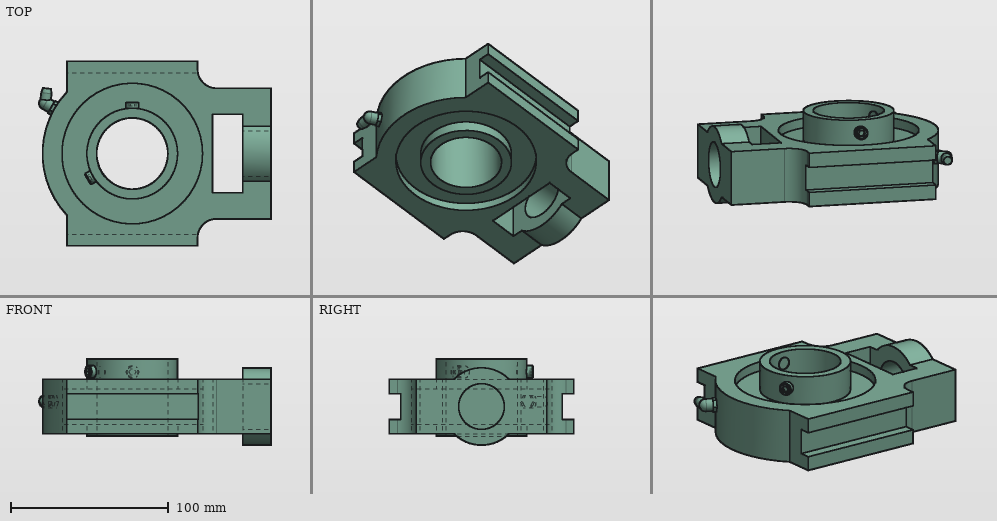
import cadquery as cq
import math


HOUSING_HEIGHT = 34.7
WING_HALF_LENGTH = 41.5
WING_HALF_WIDTH = 58.5
NOSE_RADIUS = 56.9
NECK_HALF_WIDTH = 41.5
NECK_FILLET = 11.8
END_X = 87.9
GUIDE_HEIGHT = 16.2
GUIDE_DEPTH = 7.3
WINDOW_LENGTH = 19.0
WINDOW_WIDTH = 49.5
END_WALL = 18.1
BOSS_RADIUS = 24.5
END_HOLE_DIAMETER = 29.0

INSERT_DIAMETER = 89.0
INSERT_RECESS = 6.2
RING_DIAMETER = 57.5
BORE_DIAMETER = 45.0
RING_TOP = 30.1
RING_BOTTOM = -18.8

SCREW_ANGLES = (90, 210)
SCREW_DIAMETER = 8.0
SCREW_CHAMFER = 0.6
SCREW_Z = 22.0
SCREW_OUTER_REACH = 32.6
SCREW_INNER_REACH = 22.6
SOCKET_ACROSS_FLATS = 4.0
SOCKET_DEPTH = 2.2

NIPPLE_ANGLE = 150
NIPPLE_Z = 3.2
ELBOW_REACH = 63.6
ELBOW_DIAMETER = 8.0
HEX_START = 52.9
HEX_END = 59.1
STEM_ANGLE = 83
STEM_DIAMETER = 6.8
STEM_LENGTH = 6.6
TIP_DIAMETER = 5.1
TIP_LENGTH = 3.0

HEX_CORNER_RATIO = 1 / math.cos(math.radians(30))


def direction(angle):
    """Horizontal unit vector at an angle from +X."""
    return cq.Vector(math.cos(math.radians(angle)), math.sin(math.radians(angle)), 0)


def radial_plane(start, angle):
    """Plane facing along a horizontal direction, with its own x axis horizontal too."""
    return cq.Plane(origin=start, xDir=direction(angle + 90), normal=direction(angle))


def disc(diameter, bottom, top):
    """Cylinder about the bore axis."""
    return cq.Workplane("XY").workplane(offset=bottom).circle(diameter / 2).extrude(top - bottom)


def housing_block():
    """Rounded nose, two wings and a narrower neck, joined by concave fillets."""
    nose_half_width = math.sqrt(NOSE_RADIUS**2 - WING_HALF_LENGTH**2)
    fillet_center = (WING_HALF_LENGTH + NECK_FILLET, NECK_HALF_WIDTH + NECK_FILLET)
    arc_offset = NECK_FILLET * math.sqrt(0.5)
    arc_mid = (fillet_center[0] - arc_offset, fillet_center[1] - arc_offset)
    return (
        cq.Workplane("XY")
        .workplane(offset=-HOUSING_HEIGHT / 2)
        .moveTo(-WING_HALF_LENGTH, nose_half_width)
        .lineTo(-WING_HALF_LENGTH, WING_HALF_WIDTH)
        .lineTo(WING_HALF_LENGTH, WING_HALF_WIDTH)
        .lineTo(WING_HALF_LENGTH, fillet_center[1])
        .threePointArc(arc_mid, (fillet_center[0], NECK_HALF_WIDTH))
        .lineTo(END_X, NECK_HALF_WIDTH)
        .lineTo(END_X, -NECK_HALF_WIDTH)
        .lineTo(fillet_center[0], -NECK_HALF_WIDTH)
        .threePointArc((arc_mid[0], -arc_mid[1]), (WING_HALF_LENGTH, -fillet_center[1]))
        .lineTo(WING_HALF_LENGTH, -WING_HALF_WIDTH)
        .lineTo(-WING_HALF_LENGTH, -WING_HALF_WIDTH)
        .lineTo(-WING_HALF_LENGTH, -nose_half_width)
        .threePointArc((-NOSE_RADIUS, 0), (-WING_HALF_LENGTH, nose_half_width))
        .close()
        .extrude(HOUSING_HEIGHT)
    )


def guide_slots():
    """Grooves along both wings that run on the guide rails."""
    slots = cq.Workplane("XY").pushPoints([(0, WING_HALF_WIDTH), (0, -WING_HALF_WIDTH)])
    return slots.box(2 * END_X, 2 * GUIDE_DEPTH, GUIDE_HEIGHT)


def end_cylinder(diameter):
    """Cylinder along X through the end wall."""
    wall_plane = cq.Workplane("YZ").workplane(offset=END_X - END_WALL)
    return wall_plane.circle(diameter / 2).extrude(END_WALL)


def nut_window():
    """Rectangular window for the adjusting nut, just inside the end wall."""
    center_x = END_X - END_WALL - WINDOW_LENGTH / 2
    return cq.Workplane("XY").center(center_x, 0).box(WINDOW_LENGTH, WINDOW_WIDTH, HOUSING_HEIGHT)


def grease_nipple():
    """Hexagon base, ball elbow and angled stem with a tapered tip."""
    axis = direction(NIPPLE_ANGLE)
    height = cq.Vector(0, 0, NIPPLE_Z)
    elbow = axis * ELBOW_REACH + height
    hexagon = (
        cq.Workplane(radial_plane(axis * HEX_START + height, NIPPLE_ANGLE))
        .polygon(6, ELBOW_DIAMETER * HEX_CORNER_RATIO)
        .extrude(HEX_END - HEX_START)
    )
    elbow_radius = ELBOW_DIAMETER / 2
    neck_length = ELBOW_REACH - HEX_END
    arc_offset = elbow_radius * math.sqrt(0.5)
    ball_ended_neck = (
        cq.Workplane(cq.Plane(origin=axis * HEX_END + height, xDir=axis, normal=(0, 0, 1)))
        .lineTo(0, elbow_radius)
        .lineTo(neck_length, elbow_radius)
        .threePointArc((neck_length + arc_offset, arc_offset), (neck_length + elbow_radius, 0))
        .close()
        .revolve(360, (0, 0, 0), (1, 0, 0))
    )
    stem = (
        cq.Workplane(radial_plane(elbow, STEM_ANGLE))
        .circle(STEM_DIAMETER / 2)
        .extrude(STEM_LENGTH)
    )
    tip = (
        cq.Workplane(radial_plane(elbow + direction(STEM_ANGLE) * STEM_LENGTH, STEM_ANGLE))
        .circle(STEM_DIAMETER / 2)
        .workplane(offset=TIP_LENGTH)
        .circle(TIP_DIAMETER / 2)
        .loft()
    )
    return hexagon.union(ball_ended_neck).union(stem).union(tip)


def make_housing():
    seat = disc(INSERT_DIAMETER, -HOUSING_HEIGHT / 2, HOUSING_HEIGHT / 2)
    return (
        housing_block()
        .cut(guide_slots())
        .union(end_cylinder(2 * BOSS_RADIUS))
        .cut(end_cylinder(END_HOLE_DIAMETER))
        .cut(nut_window())
        .union(grease_nipple())
        .cut(seat)
    )


def screw_blank(angle, inner_reach):
    """Plain cylinder from a radius near the bore out to the screw head."""
    start = direction(angle) * inner_reach + cq.Vector(0, 0, SCREW_Z)
    return (
        cq.Workplane(radial_plane(start, angle))
        .circle(SCREW_DIAMETER / 2)
        .extrude(SCREW_OUTER_REACH - inner_reach)
    )


def set_screw(angle):
    """Radial screw with a chamfered head and a hexagon socket."""
    head = direction(angle) * SCREW_OUTER_REACH + cq.Vector(0, 0, SCREW_Z)
    socket = (
        cq.Workplane(radial_plane(head, angle))
        .polygon(6, SOCKET_ACROSS_FLATS * HEX_CORNER_RATIO)
        .extrude(-SOCKET_DEPTH)
    )
    outer_edge = cq.selectors.DirectionMinMaxSelector(direction(angle), True)
    screw = screw_blank(angle, SCREW_INNER_REACH)
    return screw.edges(outer_edge).chamfer(SCREW_CHAMFER).cut(socket)


def make_insert():
    """Bearing disc, recessed equally from both housing faces, with the inner ring and screws."""
    half_thickness = HOUSING_HEIGHT / 2 - INSERT_RECESS
    insert = disc(INSERT_DIAMETER, -half_thickness, half_thickness)
    insert = insert.union(disc(RING_DIAMETER, RING_BOTTOM, RING_TOP))
    insert = insert.cut(disc(BORE_DIAMETER, RING_BOTTOM, RING_TOP))
    for angle in SCREW_ANGLES:
        insert = insert.cut(screw_blank(angle, 0)).union(set_screw(angle))
    return insert


housing = make_housing()
bearing_insert = make_insert()
result = cq.Compound.makeCompound([housing.solids().val(), bearing_insert.solids().val()])